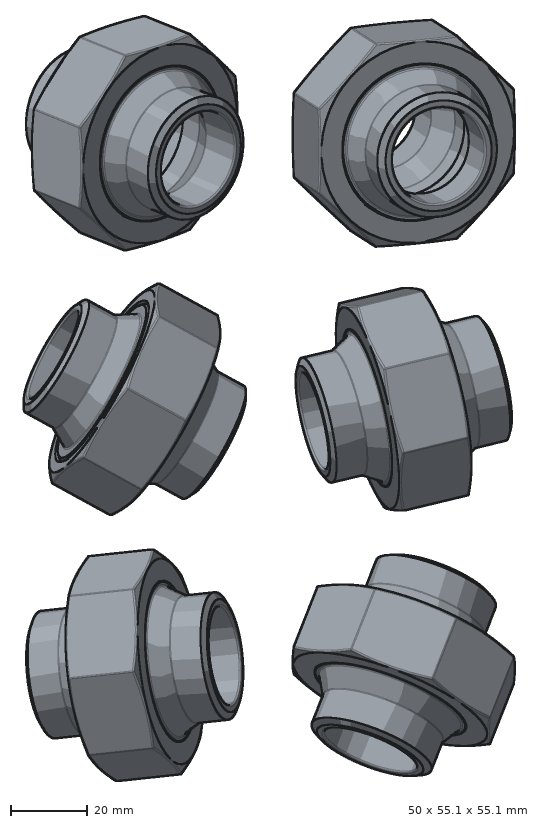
import cadquery as cq
import math

OVERALL_LENGTH = 50.0
NUT_ACROSS_FLATS = 55.05
NUT_LENGTH = 20.0
HALF_LENGTH = OVERALL_LENGTH / 2
HALF_NUT = NUT_LENGTH / 2

NUT_SIDES = 8
NUT_EDGE_RADIUS = 0.5
NUT_FACE_DIAMETER = 54.2
NUT_BEVEL_ANGLE = 20.0
NUT_BEVEL_RADIUS = 0.5
NUT_ENVELOPE_RADIUS = 33.0
NUT_MOUTH_DIAMETER = 48.0
NUT_RETAINER_BORE = 42.5

TAIL_DIAMETER = 33.7
END_LAND_DIAMETER = 29.85
WELD_BEVEL_ANGLE = 30.0
NECK_ANGLE = 30.0
NECK_BASE_DIAMETER = 39.95
NECK_RADIUS = 0.5

BORE_DIAMETER = 26.0
MOUTH_RADIUS = 0.5
CHAMBER_DIAMETER = 34.0
CHAMBER_HALF_LENGTH = 6.5
FLARE_ANGLE = 30.0
FLARE_RADIUS = 0.5

THREAD_DIAMETER = 46.8
THREAD_FACE_DIAMETER = 45.5
COLLAR_DIAMETER = 42.0
COLLAR_HEAD_LENGTH = 5.0

TOLERANCE = 0.005


def tan_deg(angle):
    return math.tan(math.radians(angle))


def revolve_about_x(points):
    """Closed (x, radius) outline turned about the X axis."""
    return cq.Workplane("XY").polyline(points).close().revolve(360, (0, 0, 0), (1, 0, 0))


def round_circle(body, x, radius, fillet_radius):
    """Fillet the circular edge of the given radius that lies at the given x."""
    circles = [
        edge
        for edge in body.edges("%CIRCLE").vals()
        if abs(edge.Center().x - x) < TOLERANCE and abs(edge.radius() - radius) < TOLERANCE
    ]
    return body.newObject(circles).fillet(fillet_radius)


def octagon_prism():
    prism = (
        cq.Workplane("YZ", origin=(-HALF_NUT, 0, 0))
        .polygon(NUT_SIDES, NUT_ACROSS_FLATS, circumscribed=True)
        .extrude(NUT_LENGTH)
    )
    return prism.edges("|X").fillet(NUT_EDGE_RADIUS)


def bevelled_envelope():
    """Solid of revolution whose conical ends bevel the corners of the nut."""
    face_radius = NUT_FACE_DIAMETER / 2
    bevel_depth = (NUT_ENVELOPE_RADIUS - face_radius) * tan_deg(NUT_BEVEL_ANGLE)
    return revolve_about_x([
        (-HALF_NUT, 0),
        (-HALF_NUT, face_radius),
        (-HALF_NUT + bevel_depth, NUT_ENVELOPE_RADIUS),
        (HALF_NUT - bevel_depth, NUT_ENVELOPE_RADIUS),
        (HALF_NUT, face_radius),
        (HALF_NUT, 0),
    ])


def bevel_edges(blank):
    """Edges where the two conical bevels meet the flats and the rounded corners."""
    return [
        edge
        for edge in blank.edges().vals()
        if 0 < edge.BoundingBox().xlen < HALF_NUT and abs(edge.Center().x) < HALF_NUT - TOLERANCE
    ]


def make_nut():
    blank = octagon_prism().intersect(bevelled_envelope())
    blank = blank.newObject(bevel_edges(blank)).fillet(NUT_BEVEL_RADIUS)
    mouth_radius = NUT_MOUTH_DIAMETER / 2
    thread_radius = THREAD_DIAMETER / 2
    cavity = revolve_about_x([
        (-HALF_NUT, 0),
        (-HALF_NUT, mouth_radius),
        (-HALF_NUT + mouth_radius - thread_radius, thread_radius),
        (COLLAR_HEAD_LENGTH, thread_radius),
        (COLLAR_HEAD_LENGTH, NUT_RETAINER_BORE / 2),
        (HALF_NUT, NUT_RETAINER_BORE / 2),
        (HALF_NUT, 0),
    ])
    return blank.cut(cavity)


def make_tail(shoulder):
    """Left-hand weld tail ending at x = 0; shoulder outlines its wide part inside the nut."""
    tail_radius = TAIL_DIAMETER / 2
    land_radius = END_LAND_DIAMETER / 2
    neck_base_radius = NECK_BASE_DIAMETER / 2
    bore_radius = BORE_DIAMETER / 2
    chamber_radius = CHAMBER_DIAMETER / 2
    weld_bevel_depth = (tail_radius - land_radius) * tan_deg(WELD_BEVEL_ANGLE)
    neck_start = -HALF_NUT - (neck_base_radius - tail_radius) / tan_deg(NECK_ANGLE)
    flare_start = -CHAMBER_HALF_LENGTH - (chamber_radius - bore_radius) / tan_deg(FLARE_ANGLE)
    tail = revolve_about_x([
        (-HALF_LENGTH, bore_radius),
        (-HALF_LENGTH, land_radius),
        (-HALF_LENGTH + weld_bevel_depth, tail_radius),
        (neck_start, tail_radius),
        (-HALF_NUT, neck_base_radius),
        *shoulder,
        (0, chamber_radius),
        (-CHAMBER_HALF_LENGTH, chamber_radius),
        (flare_start, bore_radius),
    ])
    tail = round_circle(tail, -HALF_LENGTH, bore_radius, MOUTH_RADIUS)
    tail = round_circle(tail, neck_start, tail_radius, NECK_RADIUS)
    tail = round_circle(tail, -HALF_NUT, neck_base_radius, NECK_RADIUS)
    tail = round_circle(tail, flare_start, bore_radius, FLARE_RADIUS)
    return round_circle(tail, -CHAMBER_HALF_LENGTH, chamber_radius, FLARE_RADIUS)


def make_threaded_tail():
    """Tail whose wide part fills the nut's threaded bore, with a bevelled outer rim."""
    thread_radius = THREAD_DIAMETER / 2
    face_radius = THREAD_FACE_DIAMETER / 2
    return make_tail([
        (-HALF_NUT, face_radius),
        (-HALF_NUT + thread_radius - face_radius, thread_radius),
        (0, thread_radius),
    ])


def make_collar_tail():
    """Mirrored tail whose head is held between the threaded tail and the nut's inner lip."""
    collar_radius = COLLAR_DIAMETER / 2
    head_radius = THREAD_DIAMETER / 2
    tail = make_tail([
        (-HALF_NUT, collar_radius),
        (-COLLAR_HEAD_LENGTH, collar_radius),
        (-COLLAR_HEAD_LENGTH, head_radius),
        (0, head_radius),
    ])
    return tail.mirror("YZ")


nut = make_nut()
threaded_tail = make_threaded_tail()
collar_tail = make_collar_tail()

result = cq.Compound.makeCompound([nut.val(), threaded_tail.val(), collar_tail.val()])